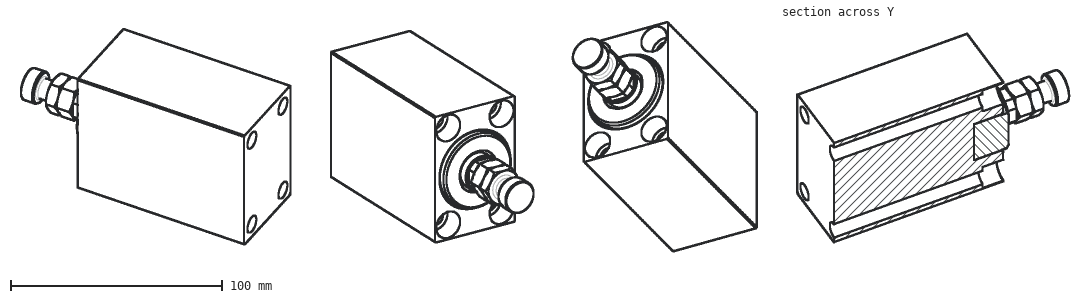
import cadquery as cq
import math


OVERALL_LENGTH = 129.0

BLOCK_LENGTH = 90.0
BLOCK_WIDTH = 45.0
BLOCK_HEIGHT = 65.0
BLOCK_EDGE_CHAMFER = 0.5
SCREW_SPACING_Y = 30.0
SCREW_SPACING_Z = 50.0
SCREW_HOLE_DIAMETER = 8.5
COUNTERBORE_DIAMETER = 13.4
COUNTERBORE_DEPTH = 11.0

GLAND_DIAMETER = 38.0
GLAND_STANDOUT = 3.0
GLAND_SEAT_DEPTH = 15.5
GLAND_CHAMFER = 1.0
SEAT_CHAMFER = 1.0
WIPER_RECESS_DIAMETER = 21.2
WIPER_RECESS_DEPTH = 1.5

ROD_DIAMETER = 18.0
ROD_STANDOUT = 11.0
ROD_TIP_DIAMETER = 17.0
ROD_TIP_LENGTH = 4.5
ROD_SHOULDER_LENGTH = 0.6
ROD_WRENCH_SIZE = 15.0

HEX_WRENCH_SIZE = 17.0
HEX_SIDES = 6
HEX_CHAMFER_ANGLE = 30.0
INNER_HEX_LENGTH = 8.0
OUTER_HEX_LENGTH = 5.9
HEAD_DIAMETER = 16.0
HEAD_LENGTH = 7.0
HEAD_FRONT_CHAMFER = 0.4
HEAD_BACK_CHAMFER_LENGTH = 0.8
HEAD_BACK_CHAMFER_HEIGHT = 0.4
NECK_DIAMETER = 10.0
NECK_HEAD_FILLET = 0.8
NECK_HEX_FILLET = 1.2

GLAND_FACE = -GLAND_STANDOUT
ROD_END = -ROD_STANDOUT
HEX_JOINT = ROD_END - INNER_HEX_LENGTH
OUTER_HEX_FACE = HEX_JOINT - OUTER_HEX_LENGTH
STUD_END = BLOCK_LENGTH - OVERALL_LENGTH
HEAD_BACK = STUD_END + HEAD_LENGTH


def rod_along_x(diameter, start, end):
    """Round bar on the X axis between two stations."""
    return cq.Workplane("YZ", origin=(start, 0, 0)).circle(diameter / 2).extrude(end - start)


def revolve_about_x(profile):
    """Close a profile of X against radius and turn it once around the X axis."""
    return profile.close().revolve(360, (0, 0, 0), (1, 0, 0))


def make_block():
    block = (
        cq.Workplane("XY")
        .box(BLOCK_LENGTH, BLOCK_WIDTH, BLOCK_HEIGHT, centered=(False, True, True))
        .edges("|X")
        .chamfer(BLOCK_EDGE_CHAMFER)
    )
    for y in (-SCREW_SPACING_Y / 2, SCREW_SPACING_Y / 2):
        for z in (-SCREW_SPACING_Z / 2, SCREW_SPACING_Z / 2):
            screw_hole = rod_along_x(SCREW_HOLE_DIAMETER, 0, BLOCK_LENGTH)
            counterbore = rod_along_x(COUNTERBORE_DIAMETER, 0, COUNTERBORE_DEPTH)
            block = block.cut(screw_hole.union(counterbore).translate((0, y, z)))

    seat_radius = GLAND_DIAMETER / 2
    seat = revolve_about_x(
        cq.Workplane("XY")
        .lineTo(0, seat_radius + SEAT_CHAMFER)
        .lineTo(SEAT_CHAMFER, seat_radius)
        .lineTo(GLAND_SEAT_DEPTH, seat_radius)
        .lineTo(GLAND_SEAT_DEPTH, 0)
    )
    return block.cut(seat)


def make_gland():
    gland = rod_along_x(GLAND_DIAMETER, GLAND_FACE, GLAND_SEAT_DEPTH)
    gland = gland.faces("<X").edges().chamfer(GLAND_CHAMFER)
    rod_hole = rod_along_x(ROD_DIAMETER, GLAND_FACE, GLAND_SEAT_DEPTH)
    wiper_recess = rod_along_x(WIPER_RECESS_DIAMETER, GLAND_FACE, GLAND_FACE + WIPER_RECESS_DEPTH)
    return gland.cut(rod_hole).cut(wiper_recess)


def make_piston_rod():
    tip_end = ROD_END + ROD_TIP_LENGTH
    shoulder_end = tip_end + ROD_SHOULDER_LENGTH
    rod_radius = ROD_DIAMETER / 2
    tip_radius = ROD_TIP_DIAMETER / 2
    shaft = revolve_about_x(
        cq.Workplane("XY")
        .moveTo(tip_end, 0)
        .lineTo(tip_end, tip_radius)
        .lineTo(shoulder_end, rod_radius)
        .lineTo(GLAND_SEAT_DEPTH, rod_radius)
        .lineTo(GLAND_SEAT_DEPTH, 0)
    )
    flats = (
        cq.Workplane("YZ", origin=(ROD_END, 0, 0))
        .rect(ROD_WRENCH_SIZE, ROD_WRENCH_SIZE)
        .extrude(ROD_TIP_LENGTH)
    )
    tip = rod_along_x(ROD_TIP_DIAMETER, ROD_END, tip_end).intersect(flats)
    return shaft.union(tip)


def make_hexagon(start, length):
    """Hexagon with corners on +Y and -Y, its corners chamfered at both ends."""
    flat_radius = HEX_WRENCH_SIZE / 2
    corner_radius = flat_radius / math.cos(math.pi / HEX_SIDES)
    chamfer_length = (corner_radius - flat_radius) * math.tan(math.radians(HEX_CHAMFER_ANGLE))
    end = start + length
    prism = cq.Workplane("YZ", origin=(start, 0, 0)).polygon(HEX_SIDES, 2 * corner_radius).extrude(length)
    envelope = revolve_about_x(
        cq.Workplane("XY")
        .moveTo(start, 0)
        .lineTo(start, flat_radius)
        .lineTo(start + chamfer_length, corner_radius)
        .lineTo(end - chamfer_length, corner_radius)
        .lineTo(end, flat_radius)
        .lineTo(end, 0)
    )
    return prism.intersect(envelope)


def make_coupling_stud():
    head_radius = HEAD_DIAMETER / 2
    neck_radius = NECK_DIAMETER / 2
    head_and_neck = revolve_about_x(
        cq.Workplane("XY")
        .moveTo(STUD_END, 0)
        .lineTo(STUD_END, head_radius - HEAD_FRONT_CHAMFER)
        .lineTo(STUD_END + HEAD_FRONT_CHAMFER, head_radius)
        .lineTo(HEAD_BACK - HEAD_BACK_CHAMFER_LENGTH, head_radius)
        .lineTo(HEAD_BACK, head_radius - HEAD_BACK_CHAMFER_HEIGHT)
        .lineTo(HEAD_BACK, neck_radius + NECK_HEAD_FILLET)
        .radiusArc((HEAD_BACK + NECK_HEAD_FILLET, neck_radius), -NECK_HEAD_FILLET)
        .lineTo(OUTER_HEX_FACE - NECK_HEX_FILLET, neck_radius)
        .radiusArc((OUTER_HEX_FACE, neck_radius + NECK_HEX_FILLET), -NECK_HEX_FILLET)
        .lineTo(OUTER_HEX_FACE, 0)
    )
    outer_hexagon = make_hexagon(OUTER_HEX_FACE, OUTER_HEX_LENGTH)
    inner_hexagon = make_hexagon(HEX_JOINT, INNER_HEX_LENGTH)
    return head_and_neck.union(outer_hexagon).union(inner_hexagon)


block = make_block()
gland = make_gland()
piston_rod = make_piston_rod()
coupling_stud = make_coupling_stud()

result = cq.Compound.makeCompound(
    [block.val(), gland.val(), piston_rod.val(), coupling_stud.val()]
)